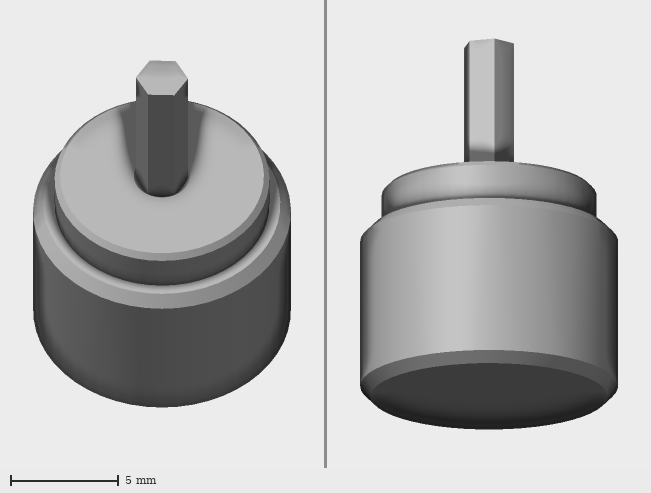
import math

import cadquery as cq

body_diameter = 12.0
body_height = 8.0
body_chamfer = 0.5
shoulder_diameter = 10.0
shoulder_height = 2.0
shoulder_chamfer = 0.25
housing_height = body_height + shoulder_height

overall_height = 17.0
shaft_across_corners = 2.43
shaft_across_flats = shaft_across_corners * math.cos(math.pi / 6)
countersink_diameter = 2.62
countersink_depth = (countersink_diameter - shaft_across_flats) / 2


def make_housing():
    body = cq.Workplane("XY").circle(body_diameter / 2).extrude(body_height)
    body = body.faces("<Z or >Z").chamfer(body_chamfer)
    shoulder = (
        cq.Workplane("XY")
        .workplane(offset=body_height)
        .circle(shoulder_diameter / 2)
        .extrude(shoulder_height)
        .faces(">Z")
        .chamfer(shoulder_chamfer)
    )
    return body.union(shoulder).cut(make_countersink()).cut(make_hexagon(housing_height))


def make_countersink():
    cone = cq.Solid.makeCone(
        shaft_across_flats / 2,
        countersink_diameter / 2,
        countersink_depth,
        pnt=cq.Vector(0, 0, housing_height - countersink_depth),
    )
    return cq.Workplane(cone)


def make_hexagon(height):
    return cq.Workplane("XY").polygon(6, shaft_across_corners).extrude(height)


housing = make_housing()
shaft = make_hexagon(overall_height)

result = cq.Compound.makeCompound([housing.solids().val(), shaft.val()])